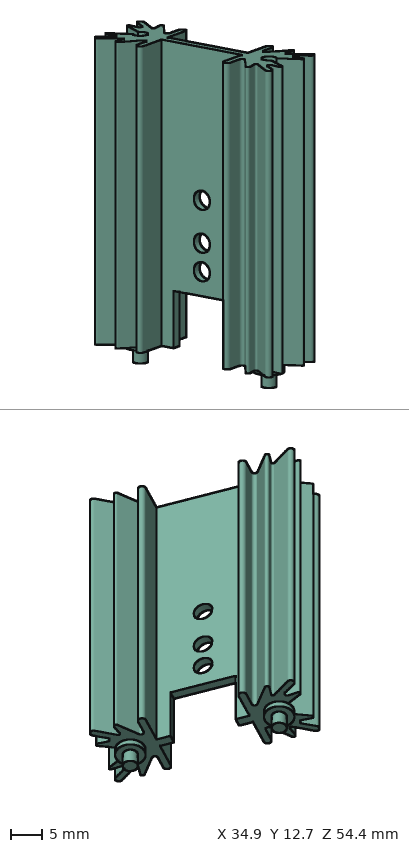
import cadquery as cq
import math


total_length = 54.4
total_width = 34.9
total_depth = 12.7
half_width = total_width / 2
half_depth = total_depth / 2

pin_diameter = 2.45
pin_x = 12.75
pin_projection = 2.45
pin_insertion = 10.05
collar_diameter = 4.9
collar_height = 1.1

body_length = total_length - pin_projection - collar_height
web_thickness = 1.65
straight_fin_inner = 7.95
straight_fin_width = 1.3
straight_fin_outer = straight_fin_inner + straight_fin_width

hole_diameter = 3.15
hole_heights = (13.6, 18.35, 25.45)
notch_width = 11.15
notch_height = 9.5

straight_tip_radius = straight_fin_width / 2
upright_tip_radius = 0.4
diagonal_tip_radius = 0.6
side_tip_radius = 0.3
fin_tips = [
    (straight_fin_inner + straight_tip_radius, half_depth - straight_tip_radius, straight_tip_radius),
    (12.9, half_depth - upright_tip_radius, upright_tip_radius),
    (half_width - diagonal_tip_radius, half_depth - diagonal_tip_radius, diagonal_tip_radius),
    (half_width - side_tip_radius, 2.95, side_tip_radius),
]

valleys = [
    (straight_fin_outer, 1.8, 0.5),
    (12.85, 3.6, 0.25),
    (13.8, 2.95, 0.45),
]
fin_root_start = (straight_fin_inner, 0)
fin_root_end = (13.8, 0.8)


def tangent_point(root, tip, side):
    """Point where a flank from root touches the tip circle, on its left (+1) or right (-1)."""
    tip_x, tip_y, radius = tip
    dx = tip_x - root[0]
    dy = tip_y - root[1]
    flank_angle = math.atan2(dy, dx) + side * math.asin(radius / math.hypot(dx, dy))
    normal_angle = flank_angle + side * math.pi / 2
    return (tip_x + radius * math.cos(normal_angle), tip_y + radius * math.sin(normal_angle))


def make_column():
    """Right-hand finned column with its open-sided pin bore."""
    roots = [fin_root_start] + [(x, y) for x, y, radius in valleys] + [fin_root_end]
    outline = cq.Workplane("XY").moveTo(*fin_root_start)
    for tip, near_root, far_root in zip(fin_tips, roots, roots[1:]):
        tip_x, tip_y, radius = tip
        near = tangent_point(near_root, tip, 1)
        far = tangent_point(far_root, tip, -1)
        axis_x = (near[0] + far[0]) / 2 - (near_root[0] + far_root[0]) / 2
        axis_y = (near[1] + far[1]) / 2 - (near_root[1] + far_root[1]) / 2
        reach = radius / math.hypot(axis_x, axis_y)
        crown = (tip_x + reach * axis_x, tip_y + reach * axis_y)
        outline = outline.lineTo(*near).threePointArc(crown, far).lineTo(*far_root)
    half = outline.lineTo(pin_x, 0).close().extrude(body_length)
    for x, y, radius in valleys:
        corner = cq.selectors.NearestToPointSelector((x, y, body_length / 2))
        half = half.edges("|Z").edges(corner).fillet(radius)
    bore = cq.Workplane("XY").center(pin_x, 0).circle(pin_diameter / 2).extrude(body_length)
    return half.union(half.mirror("XZ")).cut(bore)


def make_pin():
    """Right-hand pin, with a collar seated against the end of the column."""
    pin = (
        cq.Workplane("XY", origin=(pin_x, 0, -collar_height - pin_projection))
        .circle(pin_diameter / 2)
        .extrude(pin_projection + collar_height + pin_insertion)
    )
    collar = (
        cq.Workplane("XY", origin=(pin_x, 0, -collar_height))
        .circle(collar_diameter / 2)
        .extrude(collar_height)
    )
    return pin.union(collar)


def make_web():
    """Web between the columns, with its mounting holes and bottom notch."""
    web = cq.Workplane("XY").rect(2 * straight_fin_inner, web_thickness).extrude(body_length)
    notch = cq.Workplane("XY").rect(notch_width, web_thickness).extrude(notch_height)
    holes = (
        cq.Workplane("XZ")
        .pushPoints([(0, height) for height in hole_heights])
        .circle(hole_diameter / 2)
        .extrude(web_thickness, both=True)
    )
    return web.cut(notch).cut(holes)


right_side = make_column().union(make_pin())
result = make_web().union(right_side).union(right_side.mirror("YZ"))